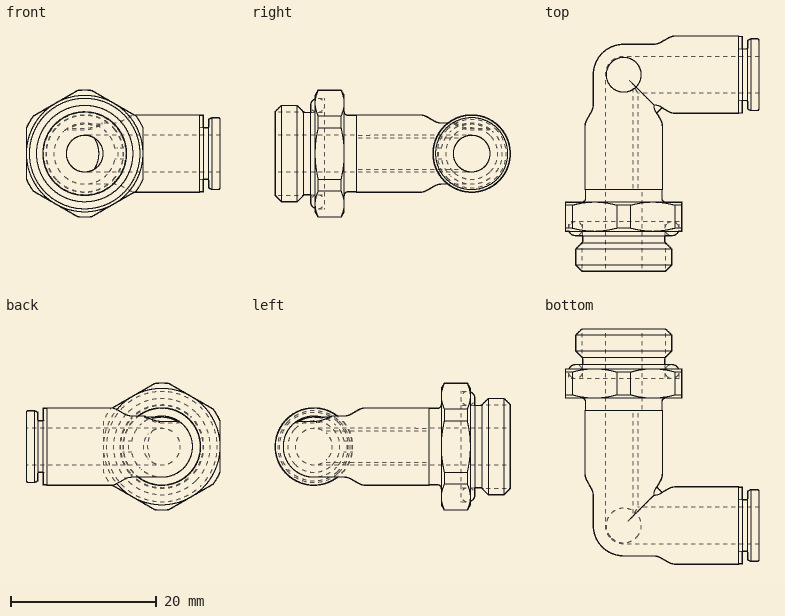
import cadquery as cq
import math


neck_radius = 4.2
arm_radius = 5.35
neck_length = 4.1
arm_length = 15.78
blend_radius = 2.0
blend_angle = math.radians(30)
bore_radius = 2.52
web_thickness = 1.5
web_reach = 9.83
web_depth = 2.6
badge_radius = 2.4
badge_depth = 0.15

shoulder_radius = 3.98
shoulder_reach = 1.95

ring_radius = 5.27
ring_end = 16.3
collet_neck_radius = 3.55
collet_fillet = 0.13
flange_start = 17.0
flange_chamfer_end = 17.45
flange_chamfer_radius = 4.72
flange_radius = 4.95
collet_end = 18.6
collet_rounding = 0.25

stud_neck_radius = 5.27
stud_neck_fillet = 0.5
hex_flats = 16.0
hex_corner_radius = 17.5 / 2
hex_height = 4.0
hex_chamfer_angle = math.radians(30)
hex_end = 21.5
hex_start = hex_end - hex_height
stud_end = 27.0
core_radius = 5.65

seal_section_radius = 0.97
seal_centre_radius = core_radius + seal_section_radius
seal_centre = hex_end - 0.35

thread_radius = 6.63
thread_inner_radius = 5.72
thread_start = 23.08
thread_chamfer = 0.87
relief_length = 0.3


def turned_x(profile):
    """Revolve a closed (distance along X, radius) outline about the X axis."""
    return profile.close().revolve(360, (0, 0, 0), (1, 0, 0))


def along_stud(body):
    """Swing a body from the +X axis to the -Y axis."""
    return body.rotate((0, 0, 0), (0, 0, 1), -90)


def rod(radius, start, end):
    """Cylinder on the X axis between two distances."""
    return cq.Workplane("YZ", origin=(start, 0, 0)).circle(radius).extrude(end - start)


def ball(radius):
    return cq.Workplane("XY").sphere(radius)


def elbow_arm():
    """Neck that flares through two tangent arcs and a cone to the arm radius."""
    arc_run = blend_radius * math.sin(blend_angle)
    arc_rise = blend_radius * (1 - math.cos(blend_angle))
    cone_rise = arm_radius - neck_radius - 2 * arc_rise
    cone_start = neck_length + arc_run
    cone_end = cone_start + cone_rise / math.tan(blend_angle)
    return turned_x(
        cq.Workplane("XY")
        .lineTo(0, neck_radius)
        .lineTo(neck_length, neck_radius)
        .radiusArc((cone_start, neck_radius + arc_rise), -blend_radius)
        .lineTo(cone_end, arm_radius - arc_rise)
        .radiusArc((cone_end + arc_run, arm_radius), blend_radius)
        .lineTo(arm_length, arm_radius)
        .lineTo(arm_length, 0)
    )


def corner_web():
    """Small triangular web in the inner corner of the elbow."""
    near = web_reach / 2 - web_depth / 2
    far = web_reach - near
    return (
        cq.Workplane("XY", origin=(0, 0, -web_thickness / 2))
        .polyline([(near, -near), (far, -near), (near, -far)])
        .close()
        .extrude(web_thickness)
    )


def badge_recess():
    """Shallow round recess on top of the elbow that follows the elbow surface."""
    floor_radius = neck_radius - badge_depth
    floor_arm = rod(floor_radius, 0, arm_length)
    floor = ball(floor_radius).union(floor_arm).union(along_stud(floor_arm))
    return cq.Workplane("XY").circle(badge_radius).extrude(2 * neck_radius).cut(floor)


def passages():
    """Bore along the tube arm, rounded at the elbow, and the trimmed bore along the stud arm."""
    tube_passage = rod(bore_radius, 0, arm_length)
    trim = along_stud(rod(shoulder_radius, 0, arm_length))
    trim = trim.translate((shoulder_reach - shoulder_radius, 0, 0))
    stud_passage = along_stud(tube_passage).intersect(trim)
    return tube_passage.union(ball(bore_radius)).union(stud_passage)


def make_housing():
    arm = elbow_arm()
    outside = ball(neck_radius).union(arm).union(along_stud(arm)).union(corner_web())
    return outside.cut(badge_recess()).cut(passages())


def make_end_ring():
    return rod(ring_radius, arm_length, ring_end).cut(rod(collet_neck_radius, arm_length, ring_end))


def make_collet():
    return turned_x(
        cq.Workplane("XY")
        .moveTo(arm_length, bore_radius)
        .lineTo(arm_length, collet_neck_radius)
        .lineTo(flange_start - collet_fillet, collet_neck_radius)
        .radiusArc((flange_start, collet_neck_radius + collet_fillet), -collet_fillet)
        .lineTo(flange_start, flange_chamfer_radius)
        .lineTo(flange_chamfer_end, flange_radius)
        .lineTo(collet_end - collet_rounding, flange_radius)
        .radiusArc((collet_end, flange_radius - collet_rounding), collet_rounding)
        .lineTo(collet_end, bore_radius)
    )


def hexagon():
    """Hexagon with its corners turned down and both faces chamfered to the flats."""
    inscribed = hex_flats / 2
    chamfer = (hex_corner_radius - inscribed) * math.tan(hex_chamfer_angle)
    prism = (
        cq.Workplane("YZ", origin=(hex_start, 0, 0))
        .polygon(6, hex_flats, circumscribed=True)
        .extrude(hex_height)
    )
    blank = turned_x(
        cq.Workplane("XY")
        .moveTo(hex_start, 0)
        .lineTo(hex_start, inscribed)
        .lineTo(hex_start + chamfer, hex_corner_radius)
        .lineTo(hex_end - chamfer, hex_corner_radius)
        .lineTo(hex_end, inscribed)
        .lineTo(hex_end, 0)
    )
    return prism.intersect(blank)


def stud_shank():
    """Turned neck, core and relief fillet that carry the hexagon."""
    relief_rise = thread_inner_radius - core_radius
    relief_radius = (relief_length**2 + relief_rise**2) / (2 * relief_rise)
    return turned_x(
        cq.Workplane("XY")
        .moveTo(arm_length, 0)
        .lineTo(arm_length, stud_neck_radius)
        .lineTo(hex_start - stud_neck_fillet, stud_neck_radius)
        .radiusArc((hex_start, stud_neck_radius + stud_neck_fillet), -stud_neck_fillet)
        .lineTo(hex_start, core_radius)
        .lineTo(thread_start - relief_length, core_radius)
        .radiusArc((thread_start, thread_inner_radius), -relief_radius)
        .lineTo(stud_end, thread_inner_radius)
        .lineTo(stud_end, 0)
    )


def make_stud():
    groove_radius = seal_centre_radius + seal_section_radius
    groove_floor = seal_centre - seal_section_radius
    groove = rod(groove_radius, groove_floor, hex_end).cut(rod(core_radius, groove_floor, hex_end))
    stud = hexagon().cut(groove).union(stud_shank())
    return along_stud(stud.cut(rod(bore_radius, arm_length, stud_end)))


def make_seal():
    section = cq.Workplane("XY").moveTo(seal_centre, seal_centre_radius).circle(seal_section_radius)
    return along_stud(section.revolve(360, (0, 0, 0), (1, 0, 0)))


def make_thread():
    sleeve = turned_x(
        cq.Workplane("XY")
        .moveTo(thread_start, thread_inner_radius)
        .lineTo(thread_start, thread_radius - thread_chamfer)
        .lineTo(thread_start + thread_chamfer, thread_radius)
        .lineTo(stud_end - thread_chamfer, thread_radius)
        .lineTo(stud_end, thread_radius - thread_chamfer)
        .lineTo(stud_end, thread_inner_radius)
    )
    return along_stud(sleeve)


housing = make_housing()
end_ring = make_end_ring()
collet = make_collet()
stud = make_stud()
seal = make_seal()
thread = make_thread()

bodies = [housing, end_ring, collet, stud, seal, thread]
result = cq.Compound.makeCompound([body.solids().val() for body in bodies])